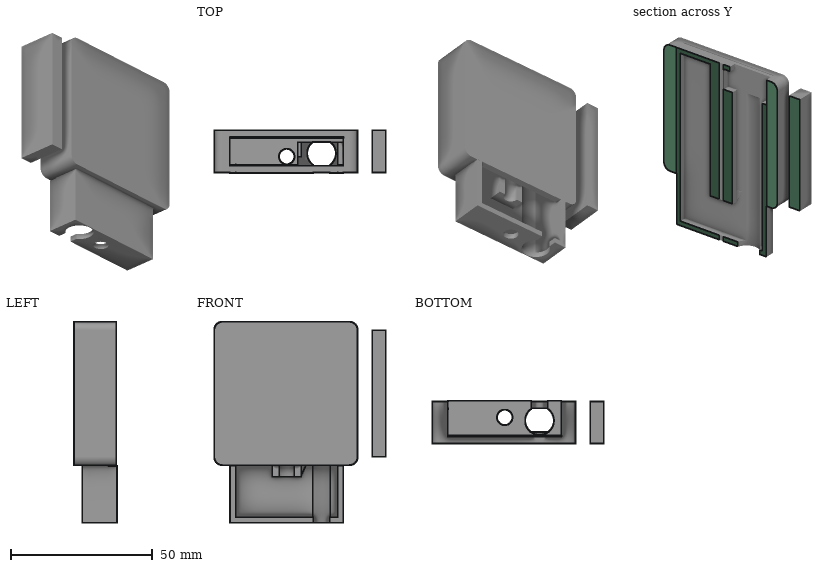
import cadquery as cq
import math

total_height = 71.0

housing_width = 50.7
housing_height = 50.7
housing_depth = 15.0
corner_radius = 3.0
front_back_wall = 2.5
right_wall = 5.05
housing_bottom = total_height - housing_height

cover_gap = 5.05
cover_width = 4.9
cover_height = housing_height - 2 * corner_radius

clearance = 0.35
front_overhang = 0.2
step_gap = 0.2
drawer_width = 40.05
side_wall = 2.0
floor_thickness = 2.0
top_thickness = 2.0
back_wall = 1.35
drawer_left = housing_width - right_wall - drawer_width
drawer_right = drawer_left + drawer_width
drawer_front = -front_overhang
drawer_back = housing_depth - front_back_wall - clearance
slide_front = front_back_wall + clearance
step_height = housing_bottom - step_gap
inner_back = drawer_back - back_wall

top_plate_width = 24.0
opening_left = drawer_left + top_plate_width
opening_depth = 9.95
opening_bottom = total_height - opening_depth

rod_x = drawer_left + drawer_width / 2
rod_y = 5.7
rod_diameter = 5.4
guide_width = 10.1
guide_right = rod_x + guide_width / 2
guide_projection = 4.05
guide_bottom = housing_bottom - guide_projection
cutback_offset = 21.3
guide_cutback_left = drawer_left + cutback_offset

rib_height = 4.25
rib_depth = 0.15
rib_start = 0.3
rib_angle = 25.0

bore_offset = 32.3
bore_x = drawer_left + bore_offset
bore_y = 6.8
bore_diameter = 10.1
slot_width = 5.75


def box_between(x_range, y_range, z_range):
    """Box spanning the given (low, high) ranges."""
    size = [high - low for low, high in (x_range, y_range, z_range)]
    corner = (x_range[0], y_range[0], z_range[0])
    return cq.Workplane("XY").box(*size, centered=False).translate(corner)


def upright_cylinder(x, y, diameter, z_low, z_high):
    """Vertical cylinder between two heights."""
    base = cq.Workplane("XY", origin=(x, y, z_low))
    return base.circle(diameter / 2).extrude(z_high - z_low)


def make_housing():
    """Rounded block with a rectangular passage from top to bottom."""
    z_range = (housing_bottom, total_height)
    block = box_between((0, housing_width), (0, housing_depth), z_range)
    block = block.edges("|Y").fillet(corner_radius)
    passage_y = (front_back_wall, housing_depth - front_back_wall)
    return block.cut(box_between((drawer_left, drawer_right), passage_y, z_range))


def make_cover():
    """Plain rectangular plate, centred on the housing's height."""
    left = housing_width + cover_gap
    bottom = housing_bottom + corner_radius
    return box_between((left, left + cover_width), (0, housing_depth), (bottom, bottom + cover_height))


def make_tray():
    """Drawer shell: full depth below the housing, thinner where it slides inside."""
    x_range = (drawer_left, drawer_right)
    tray = box_between(x_range, (slide_front, drawer_back), (0, total_height))
    tray = tray.union(box_between(x_range, (drawer_front, drawer_back), (0, step_height)))
    interior = box_between(
        (drawer_left + side_wall, drawer_right - side_wall),
        (drawer_front, inner_back),
        (floor_thickness, total_height - top_thickness),
    )
    return tray.cut(interior)


def make_guide():
    """Block on the back wall that ends at the rod's axis, with its upper right part cut back."""
    y_range = (rod_y, inner_back)
    plate_bottom = total_height - top_thickness
    guide = box_between((guide_right - guide_width, guide_right), y_range, (guide_bottom, plate_bottom))
    return guide.cut(box_between((guide_cutback_left, guide_right), y_range, (opening_bottom, plate_bottom)))


def make_rib():
    """Triangular rib on the back wall, leaning outward from the guide's side."""
    low = guide_bottom + rib_start
    high = low + rib_height
    reach = rib_height * math.tan(math.radians(rib_angle))
    outline = [(guide_right, low), (guide_right + reach, high), (guide_right, high)]
    return cq.Workplane("XZ", origin=(0, inner_back, 0)).polyline(outline).close().extrude(rib_depth)


def make_drawer():
    """Tray with rod guide, rod hole, large bore and corner opening."""
    drawer = make_tray().union(make_guide()).union(make_rib())
    opening = box_between(
        (opening_left, drawer_right), (slide_front, inner_back), (opening_bottom, total_height)
    )
    rod_hole = upright_cylinder(rod_x, rod_y, rod_diameter, 0, total_height)
    large_bore = upright_cylinder(bore_x, bore_y, bore_diameter, 0, opening_bottom)
    slot_x = (bore_x - slot_width / 2, bore_x + slot_width / 2)
    slot = box_between(slot_x, (drawer_front, bore_y), (0, floor_thickness))
    return drawer.cut(opening).cut(rod_hole).cut(large_bore).cut(slot)


housing = make_housing()
cover = make_cover()
drawer = make_drawer()

result = cq.Compound.makeCompound([housing.val(), cover.val(), drawer.val()])